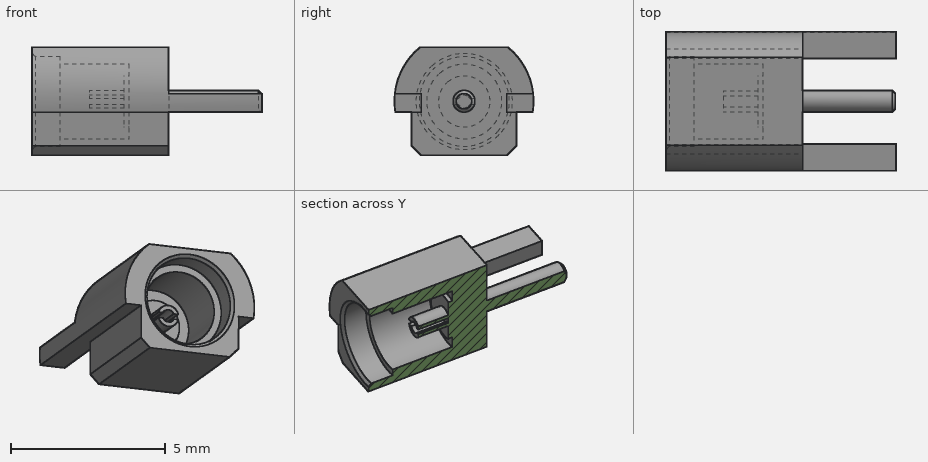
import cadquery as cq

total_length = 7.44
total_width = 4.5
body_length = 4.42
body_height = 3.5

half_height = body_height / 2
shoulder_z = -0.35
lower_width = 3.39
bottom_chamfer = 0.305

entry_diameter = 2.9
entry_chamfer = 0.105
entry_chamfer_angle = 45.0
entry_depth = 0.9
socket_diameter = 2.42
socket_depth = 3.125
insulator_diameter = 1.66
insulator_height = 0.15

pin_diameter = 0.71
pin_tip_depth = 1.86
pin_end_setback = 0.02
pin_end_chamfer = 0.105
contact_bore_diameter = 0.41
contact_slot_width = 0.18
contact_bore_depth = socket_depth - insulator_height - pin_tip_depth

leg_height = 0.595
leg_width = 0.87

mating_face_x = -total_length / 2
body_back_x = mating_face_x + body_length
legs_end_x = mating_face_x + total_length
socket_floor_x = mating_face_x + socket_depth
pin_tip_x = mating_face_x + pin_tip_depth


def cylinder(diameter, start_x, length):
    """Solid cylinder on the connector axis, running toward +X."""
    return cq.Workplane("YZ", origin=(start_x, 0, 0)).circle(diameter / 2).extrude(length)


def box(start_x, length, width, bottom_z, height):
    """Block centred on Y, running toward +X and upward from bottom_z."""
    return cq.Workplane("XY", origin=(start_x, 0, bottom_z)).box(
        length, width, height, centered=(False, True, False)
    )


def make_body():
    """Round-sided upper part cut flat on top, over a narrower chamfered base."""
    upper_height = half_height - shoulder_z
    upper = cylinder(total_width, mating_face_x, body_length).intersect(
        box(mating_face_x, body_length, total_width, shoulder_z, upper_height)
    )
    base = box(mating_face_x, body_length, lower_width, -half_height, half_height)
    base = base.faces("<Z").edges("|X").chamfer(bottom_chamfer)
    return upper.union(base)


def make_socket():
    """Cavity with a chamfered mouth, a ledge and a raised insulator on its floor."""
    cavity = cylinder(socket_diameter, mating_face_x, socket_depth)
    entry = cylinder(entry_diameter, mating_face_x, entry_depth)
    mouth = (
        cq.Workplane("YZ", origin=(mating_face_x, 0, 0))
        .circle(entry_diameter / 2 + entry_chamfer)
        .extrude(entry_chamfer, taper=entry_chamfer_angle)
    )
    insulator = cylinder(insulator_diameter, socket_floor_x - insulator_height, insulator_height)
    return cavity.union(entry).union(mouth).cut(insulator)


def make_pin():
    """Centre pin with a chamfered tail and a bored, slotted contact tip."""
    pin_length = legs_end_x - pin_end_setback - pin_tip_x
    pin = cylinder(pin_diameter, pin_tip_x, pin_length)
    pin = pin.faces(">X").chamfer(pin_end_chamfer)
    bore = cylinder(contact_bore_diameter, pin_tip_x, contact_bore_depth)
    slot = box(pin_tip_x, contact_bore_depth, pin_diameter, -contact_slot_width / 2, contact_slot_width)
    return pin.cut(bore).cut(slot)


def make_legs():
    """Two legs behind the body whose outer sides follow the body radius."""
    leg_length = legs_end_x - body_back_x
    gap = total_width - 2 * leg_width
    legs = cylinder(total_width, body_back_x, leg_length).intersect(
        box(body_back_x, leg_length, total_width, shoulder_z, leg_height)
    )
    return legs.cut(box(body_back_x, leg_length, gap, shoulder_z, leg_height))


result = make_body().cut(make_socket()).union(make_legs()).union(make_pin())